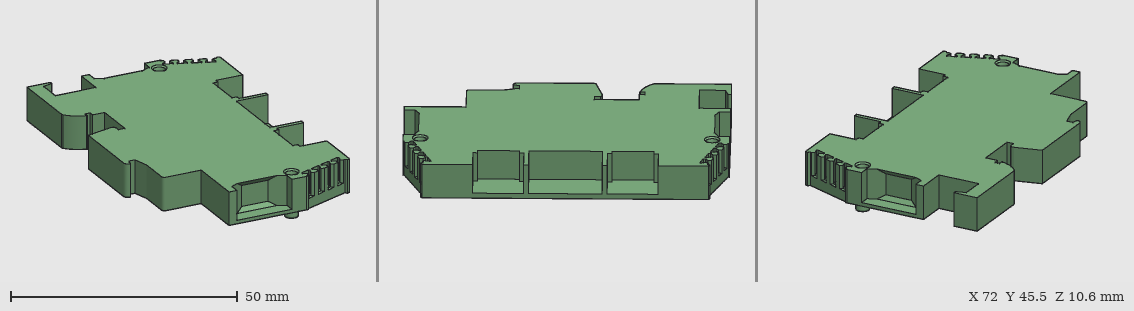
import cadquery as cq

length = 72.0
height = 45.5
thickness = 8.1
half_length = length / 2
cut_margin = 0.7

foot_floor_y = 3.45
foot_tip_y = 5.8
foot_pocket_x = -28.95
shoulder_y = 13.5
cheek_top_y = 33.1
top_half_width = 31.6
lip_half_width = 31.9
lip_y = 44.85
rail_roof_y = 8.9
roof_end_x = -5.8

jaw_x = -15.7
jaw_notch_x = -16.9
jaw_notch_low_y = 4.75
jaw_notch_high_y = 6.0
far_jaw_x = -7.55
far_jaw_y = 7.35
far_jaw_bevel = 0.35
latch_tip_x = 12.2
latch_tip_radius = 1.1
latch_root_x = 10.7
latch_roof_y = 4.0
latch_wall_x = 22.4
latch_corner_radius = 0.7

flank_start = (-35.8, 32.75)
flank_end = (-31.4, 44.4)
flank_slope = (flank_end[0] - flank_start[0]) / (flank_end[1] - flank_start[1])

groove_count = 4
groove_pitch_y = 2.95
first_groove_y = 33.5
groove_floor_z = 2.6
groove_lip_z = 2.4
mouth_height = 1.7
mouth_inner_low = (0.8, 0)
mouth_inner_high = (0.9, 1.0)
chamber_hook = [(1.4, -0.9), (1.8, -0.9), (2.5, 1.15), (2.2, 1.4)]

tray_floor_z = 1.2
tray_depth = 7.85
tray_step_depth = 6.6
center_tray_width = 16.3
side_tray_width = 11.2
side_tray_inner_width = 9.2
side_tray_x = 14.8

recess_low_y = 15.4
recess_high_y = 29.0
recess_floor_z = 0.9
recess_straight_depth = 2.45
recess_full_depth = 4.2
recess_inner_y = (18.7, 25.2)
recess_inner_z = (1.95, 7.0)
recess_z_spread = 2.3

pin_x = 32.2
pin_y = 30.8
pin_length = 2.5
pin_root_radius = 1.405
pin_tip_radius = 1.6
pin_end_radius = 1.5
pin_tip_band = 0.35
socket_profile = [(1.7, 0.0), (1.4, 0.35), (1.2, 0.9), (0.9, 2.6)]


def mirrored_pair(solid):
    """Return the solid together with its mirror image across the YZ plane."""
    return solid.union(solid.mirror("YZ"))


def make_body():
    """Extrude the housing outline with its rail foot and rail latch."""
    body = (
        cq.Workplane("XY")
        .moveTo(-half_length, 0)
        .lineTo(-19.0, 0)
        .lineTo(-18.65, 0.15)
        .threePointArc((-16.6, 2.6), (-15.9, 4.5))
        .lineTo(jaw_x, jaw_notch_low_y)
        .lineTo(jaw_notch_x, jaw_notch_low_y)
        .lineTo(jaw_notch_x, jaw_notch_high_y)
        .lineTo(jaw_x, jaw_notch_high_y)
        .lineTo(jaw_x, rail_roof_y)
        .lineTo(roof_end_x, rail_roof_y)
        .lineTo(roof_end_x, far_jaw_y)
        .lineTo(far_jaw_x + far_jaw_bevel, far_jaw_y)
        .lineTo(far_jaw_x, far_jaw_y - far_jaw_bevel)
        .lineTo(far_jaw_x, 6.2)
        .lineTo(-6.05, 0)
        .lineTo(latch_tip_x - latch_tip_radius, 0)
        .radiusArc((latch_tip_x, latch_tip_radius), -latch_tip_radius)
        .lineTo(latch_tip_x, 1.2)
        .lineTo(latch_root_x, 1.5)
        .lineTo(latch_root_x, 3.0)
        .lineTo(14.5, latch_roof_y)
        .lineTo(latch_wall_x - latch_corner_radius, latch_roof_y)
        .radiusArc((latch_wall_x, latch_roof_y + latch_corner_radius), -latch_corner_radius)
        .lineTo(latch_wall_x, shoulder_y)
        .lineTo(half_length, shoulder_y)
        .lineTo(half_length, cheek_top_y)
        .lineTo(-flank_start[0], flank_start[1])
        .lineTo(-flank_end[0], flank_end[1])
        .lineTo(lip_half_width, lip_y)
        .lineTo(top_half_width, height)
        .lineTo(-top_half_width, height)
        .lineTo(-lip_half_width, lip_y)
        .lineTo(*flank_end)
        .lineTo(*flank_start)
        .lineTo(-half_length, cheek_top_y)
        .lineTo(-half_length, shoulder_y)
        .lineTo(foot_pocket_x, shoulder_y)
        .lineTo(foot_pocket_x, foot_floor_y)
        .lineTo(-34.6, foot_floor_y)
        .lineTo(-35.3, foot_tip_y)
        .lineTo(-half_length, foot_tip_y)
        .close()
    )
    return body.extrude(thickness)


def make_tray(center_x, width, depth):
    """Return a rectangular tray opening through the top edge and the upper face."""
    return cq.Workplane("XY").box(
        width, depth + cut_margin, thickness, centered=(True, False, False)
    ).translate((center_x, height - depth, tray_floor_z))


def make_groove(index):
    """Return one grip groove: a hooked chamber behind a mouth with a tilted floor."""
    mouth_y = first_groove_y + index * groove_pitch_y
    mouth_x = flank_start[0] + (mouth_y - flank_start[1]) * flank_slope
    groove_depth = thickness - groove_floor_z
    ramp_run = mouth_inner_high[0]
    chamber = (
        cq.Workplane("XY", origin=(mouth_x, mouth_y, groove_floor_z))
        .polyline([mouth_inner_low] + chamber_hook + [mouth_inner_high])
        .close()
        .extrude(groove_depth)
    )
    mouth = (
        cq.Workplane("XY", origin=(mouth_x, mouth_y, groove_lip_z))
        .polyline([
            (-cut_margin, 0),
            mouth_inner_low,
            mouth_inner_high,
            (mouth_height * flank_slope, mouth_height),
            (-cut_margin, mouth_height),
        ])
        .close()
        .extrude(thickness - groove_lip_z)
    )
    floor_ramp = (
        cq.Workplane("XZ", origin=(mouth_x, mouth_y, 0))
        .polyline([(0, groove_lip_z), (ramp_run, groove_lip_z), (ramp_run, groove_floor_z)])
        .close()
        .extrude(-mouth_height)
    )
    return chamber.union(mouth.cut(floor_ramp))


def make_recess():
    """Return the left finger recess: a straight opening that tapers to an inner face."""
    inner_low_y, inner_high_y = recess_inner_y
    inner_low_z, inner_high_z = recess_inner_z
    outer_z = inner_low_z - recess_z_spread
    outer_height = inner_high_z + recess_z_spread - outer_z
    opening_height = recess_high_y - recess_low_y
    opening = cq.Workplane("XY").box(
        recess_straight_depth + cut_margin, opening_height, thickness, centered=False
    ).translate((-half_length - cut_margin, recess_low_y, recess_floor_z))

    middle_y = (recess_low_y + recess_high_y) / 2
    middle_z = outer_z + outer_height / 2
    inner_center_y = (inner_low_y + inner_high_y) / 2
    taper = (
        cq.Workplane("YZ", origin=(-half_length + recess_straight_depth, middle_y, middle_z))
        .rect(opening_height, outer_height)
        .workplane(offset=recess_full_depth - recess_straight_depth)
        .center(inner_center_y - middle_y, 0)
        .rect(inner_high_y - inner_low_y, inner_high_z - inner_low_z)
        .loft(ruled=True)
    )
    above_floor = cq.Workplane("XY").box(
        length, height, 2 * thickness, centered=(True, False, False)
    ).translate((0, 0, recess_floor_z))
    return opening.union(taper.intersect(above_floor))


def make_pin():
    """Return the left locating pin, flaring slightly towards its bevelled tip."""
    return (
        cq.Workplane("XZ")
        .polyline([
            (0, cut_margin),
            (pin_root_radius, cut_margin),
            (pin_root_radius, 0),
            (pin_tip_radius, pin_tip_band - pin_length),
            (pin_end_radius, -pin_length),
            (0, -pin_length),
        ])
        .close()
        .revolve(360, (0, 0, 0), (0, 1, 0))
        .translate((-pin_x, pin_y, 0))
    )


def make_socket():
    """Return the left blind socket, stepped in three conical stages."""
    wall = [(radius, thickness - depth) for radius, depth in socket_profile]
    floor_z = wall[-1][1]
    return (
        cq.Workplane("XZ")
        .polyline([(0, thickness)] + wall + [(0, floor_z)])
        .close()
        .revolve(360, (0, 0, 0), (0, 1, 0))
        .translate((-pin_x, pin_y, 0))
    )


result = make_body()

result = result.cut(make_tray(0, center_tray_width, tray_depth))
side_tray = make_tray(-side_tray_x, side_tray_width, tray_step_depth).union(
    make_tray(-side_tray_x, side_tray_inner_width, tray_depth)
)
result = result.cut(mirrored_pair(side_tray))

for groove_index in range(groove_count):
    result = result.cut(mirrored_pair(make_groove(groove_index)))
result = result.cut(mirrored_pair(make_recess()))
result = result.cut(mirrored_pair(make_socket()))
result = result.union(mirrored_pair(make_pin()))